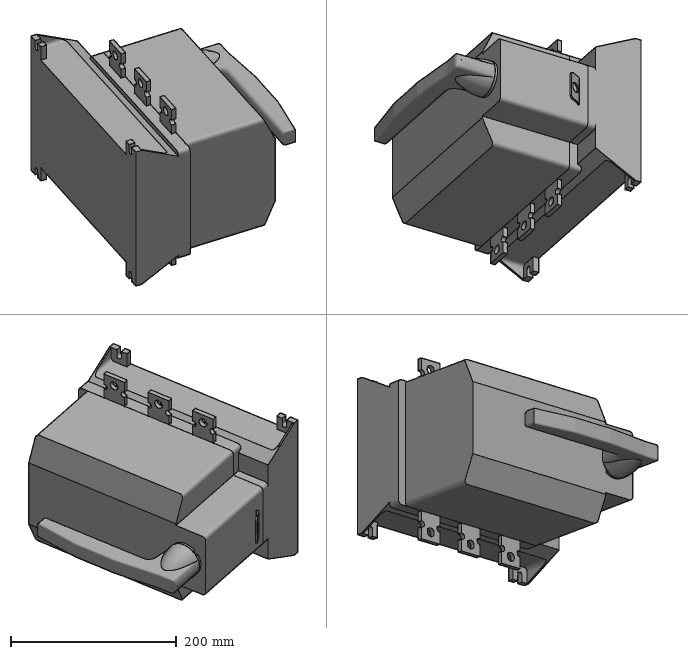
import cadquery as cq
import math


overall_length = 282.2

base_width = 270.0
foot_half_height = 100.0
foot_thickness = 8.0
flank_top_y = 63.2
flank_top_half_height = 71.0
side_wall = 2.3
ear_width = 25.5
ear_slot_inset = 14.0
ear_slot_width = 6.5
ear_slot_depth = 12.0

split_y = 74.2
cover_top_y = 196.1
low_half_height = 44.0
tall_half_height = 80.2
tall_left_x = 43.5
tall_collar_y = 57.9
cover_right_x = 259.0
edge_radius = 5.0
bevel_start_y = 180.3
bevel_top_half_height = 46.3

bar_count = 3
bar_pitch = 65.0
first_bar_x = 88.0
bar_width = 30.2
bar_thickness = 6.0
bar_half_length = 116.0
bar_hole_diameter = 11.0
bar_hole_z = 104.0
bar_notch_z = 96.8
bar_notch_width = 7.5
bar_notch_depth = 4.8

tab_reach = overall_length - base_width
tab_bottom_y = 86.6
tab_half_width = 18.0
tab_thickness = 2.0
tab_bend_radius = 4.8
tab_bend_angle = 62
tab_corner_radius = 4.0
tab_hole_diameter = 12.7
tab_hole_y = 96.0

knob_x = 29.5
knob_radius = 23.0
heel_radius = 23.1
knob_bottom_y = 199.5
dome_arc_radius = 74.8
dome_height = 44.5
skirt_radius = 22.5
skirt_flat = 13.5
lever_half_thickness = 10.5
lever_end_x = 208.8
lever_end_y = 250.3
lever_top_y = 259.0
lever_shoulder_y = 253.0
lever_hump_x = 91.7
lever_flat_y = 258.8
lever_flat_start_x = 105.8
lever_flat_end_x = 148.2
grip_bottom_y = 232.8
neck_bottom_x = 51.6
neck_top_x = 56.5
grip_inner_radius = 9.5
lever_corner_radius = 6.2
lever_heel_fillet = 4.5
lever_grip_fillet = 5.5
lever_top_fillet = 2.3


def block(x_range, y_range, z_range):
    """Axis-aligned box between the given limits."""
    size = [high - low for low, high in (x_range, y_range, z_range)]
    corner = cq.Vector(x_range[0], y_range[0], z_range[0])
    return cq.Workplane("XY").add(cq.Solid.makeBox(*size, corner))


def bay(x_range, y_range, half_height, rounded_sides):
    """Housing bay with its Y-parallel edges rounded on the chosen sides."""
    body = block(x_range, y_range, (-half_height, half_height))
    for side in rounded_sides:
        body = body.faces(side).edges("|Y").fillet(edge_radius)
    return body


def make_bars():
    """Terminal bars that pass right through the housing, with an eye at each end."""
    y_range = (split_y - bar_thickness, split_y)
    bars = []
    for index in range(bar_count):
        x = first_bar_x + index * bar_pitch
        left_x = x - bar_width / 2
        bar = block((left_x, left_x + bar_width), y_range, (-bar_half_length, bar_half_length))
        for end in (-1, 1):
            eye = cq.Workplane("XZ", origin=(x, split_y, end * bar_hole_z))
            bar = bar.cut(eye.circle(bar_hole_diameter / 2).extrude(bar_thickness))
            for side in (-1, 1):
                notch_x = x + side * bar_width / 2
                notch = cq.Workplane("XZ", origin=(notch_x, split_y, end * bar_notch_z))
                bar = bar.cut(notch.slot2D(2 * bar_notch_depth, bar_notch_width).extrude(bar_thickness))
        bars.append(bar)
    return bars


def side_pocket(end):
    """Recess above (end = 1) or below (end = -1) the core of the base, leaving the ears and end walls."""
    z_range = sorted((end * tall_half_height, end * foot_half_height))
    upper = block((side_wall, base_width - side_wall), (foot_thickness, flank_top_y), z_range)
    floor_side = "<Z" if end > 0 else ">Z"
    upper = upper.faces(floor_side).edges("|Y").fillet(edge_radius)
    between_ears = block((ear_width, base_width - ear_width), (0, foot_thickness), z_range)
    return upper.union(between_ears)


def ear_slots():
    """Open-ended screw slots with round bottoms, one in each mounting ear."""
    slots = []
    for x in (ear_slot_inset, base_width - ear_slot_inset):
        for end in (-1, 1):
            slot = (
                cq.Workplane("XZ", origin=(x, foot_thickness, end * foot_half_height))
                .slot2D(2 * ear_slot_depth, ear_slot_width, 90)
                .extrude(foot_thickness)
            )
            slots.append(slot)
    return slots


def make_base(bars):
    flank = [
        (0, foot_half_height),
        (foot_thickness, foot_half_height),
        (flank_top_y, flank_top_half_height),
    ]
    mirrored_flank = [(y, -z) for y, z in reversed(flank)]
    base = cq.Workplane("YZ").polyline(flank + mirrored_flank).close().extrude(base_width)
    for end in (-1, 1):
        base = base.cut(side_pocket(end))
    for slot in ear_slots():
        base = base.cut(slot)
    low_bay = bay((0, tall_left_x), (tall_collar_y, split_y), low_half_height, ["<X"])
    tall_bay = bay((tall_left_x, base_width), (tall_collar_y, split_y), tall_half_height, ["<X", ">X"])
    base = base.union(low_bay).union(tall_bay)
    for bar in bars:
        base = base.cut(bar)
    return base


def make_cover():
    tall_bay = bay((tall_left_x, cover_right_x), (split_y, cover_top_y), tall_half_height, ["<X", ">X"])
    bevel = [
        (bevel_start_y, tall_half_height),
        (cover_top_y, bevel_top_half_height),
        (cover_top_y, tall_half_height),
    ]
    for end in (-1, 1):
        outline = [(y, end * z) for y, z in bevel]
        tall_bay = tall_bay.cut(cq.Workplane("YZ").polyline(outline).close().extrude(base_width))
    low_bay = bay((0, tall_left_x), (split_y, cover_top_y), low_half_height, ["<X"])
    return tall_bay.union(low_bay)


def make_tab():
    """Bent strip that leaves the cover's left face square to it, then leans outwards."""
    angle = math.radians(tab_bend_angle)
    half_angle = angle / 2
    inner_radius = tab_bend_radius - tab_thickness
    centre_y = tab_bottom_y + tab_bend_radius

    def on_bend(radius, turn):
        return (-radius * math.sin(turn), centre_y - radius * math.cos(turn))

    bend_reach = tab_bend_radius * math.sin(angle)
    rise = (tab_reach - bend_reach) * math.tan(angle)
    bend_end = on_bend(tab_bend_radius, angle)
    outer_tip = (-tab_reach, bend_end[1] + rise)
    inner_tip = (
        outer_tip[0] + tab_thickness * math.sin(angle),
        outer_tip[1] + tab_thickness * math.cos(angle),
    )
    tab = (
        cq.Workplane("XY", origin=(0, 0, -tab_half_width))
        .moveTo(*on_bend(tab_bend_radius, 0))
        .threePointArc(on_bend(tab_bend_radius, half_angle), bend_end)
        .lineTo(*outer_tip)
        .lineTo(*inner_tip)
        .lineTo(*on_bend(inner_radius, angle))
        .threePointArc(on_bend(inner_radius, half_angle), on_bend(inner_radius, 0))
        .close()
        .extrude(2 * tab_half_width)
    )
    corner_point = ((outer_tip[0] + inner_tip[0]) / 2, (outer_tip[1] + inner_tip[1]) / 2)
    for end in (-1, 1):
        corner = cq.selectors.NearestToPointSelector((*corner_point, end * tab_half_width))
        tab = tab.edges(corner).fillet(tab_corner_radius)

    hole_x = bend_end[0] - (tab_hole_y - bend_end[1]) / math.tan(angle)
    hole_plane = cq.Plane(
        origin=(hole_x, tab_hole_y, 0),
        xDir=(0, 0, 1),
        normal=(math.sin(angle), math.cos(angle), 0),
    )
    hole = cq.Workplane(hole_plane).circle(tab_hole_diameter / 2).extrude(2 * tab_thickness, both=True)
    return tab.cut(hole)


def make_knob():
    """Pointed dome turned from one arc that starts parallel to the axis; its flat end is inside the lever."""
    dome_top_y = knob_bottom_y + dome_height
    arc_centre_z = knob_radius - dome_arc_radius

    def dome_radius(height):
        return arc_centre_z + math.sqrt(dome_arc_radius**2 - height**2)

    return (
        cq.Workplane("YZ", origin=(knob_x, 0, 0))
        .moveTo(knob_bottom_y, 0)
        .lineTo(knob_bottom_y, knob_radius)
        .threePointArc(
            (knob_bottom_y + dome_height / 2, dome_radius(dome_height / 2)),
            (dome_top_y, dome_radius(dome_height)),
        )
        .lineTo(dome_top_y, 0)
        .close()
        .revolve(360, (0, 0, 0), (1, 0, 0))
    )


def make_skirt():
    """Short disc under the knob, cut flat on one side and stepped at one corner."""
    y_range = (cover_top_y, knob_bottom_y)
    skirt = cq.Workplane("XZ", origin=(knob_x, knob_bottom_y, 0)).circle(skirt_radius)
    skirt = skirt.extrude(knob_bottom_y - cover_top_y)
    flat = block((knob_x + skirt_flat, knob_x + skirt_radius), y_range, (-skirt_radius, skirt_radius))
    step = block((knob_x - skirt_radius, knob_x - skirt_flat), y_range, (skirt_flat, skirt_radius))
    return skirt.cut(flat).cut(step)


def make_lever():
    """Flat L-shaped lever whose heel is rounded about the knob's axis."""
    heel_x = knob_x - heel_radius
    lever = (
        cq.Workplane("XY", origin=(0, 0, -lever_half_thickness))
        .moveTo(heel_x, knob_bottom_y)
        .lineTo(heel_x, lever_shoulder_y)
        .lineTo(knob_x, lever_shoulder_y)
        .lineTo(lever_hump_x, lever_top_y)
        .lineTo(lever_flat_start_x, lever_flat_y)
        .lineTo(lever_flat_end_x, lever_flat_y)
        .lineTo(lever_end_x, lever_end_y)
        .lineTo(lever_end_x, grip_bottom_y)
        .lineTo(neck_top_x, grip_bottom_y)
        .lineTo(neck_bottom_x, knob_bottom_y)
        .close()
        .extrude(2 * lever_half_thickness)
    )
    inner_corner = cq.selectors.NearestToPointSelector((neck_top_x, grip_bottom_y, 0))
    lever = lever.edges(inner_corner).fillet(grip_inner_radius)
    heel_corner = cq.selectors.NearestToPointSelector((heel_x, lever_shoulder_y, 0))
    lever = lever.edges(heel_corner).fillet(lever_corner_radius)

    heel = cq.Workplane("XZ", origin=(knob_x, 0, 0)).circle(heel_radius).extrude(-lever_top_y)
    beyond_heel = block((knob_x, lever_end_x), (0, lever_top_y), (-knob_radius, knob_radius))
    lever = lever.intersect(heel.union(beyond_heel))

    lever = lever.edges("|Y").edges("<X").fillet(lever_heel_fillet)
    grip_limits = (
        (neck_bottom_x, knob_bottom_y, -knob_radius),
        (lever_end_x, grip_bottom_y + lever_top_fillet, knob_radius),
    )
    lever = lever.faces("<Z or >Z").edges(cq.selectors.BoxSelector(*grip_limits)).fillet(lever_grip_fillet)
    top_limits = (
        (knob_x - knob_radius / 2, grip_bottom_y + lever_grip_fillet, -knob_radius),
        (lever_end_x + lever_top_fillet, lever_top_y, knob_radius),
    )
    return lever.faces("<Z or >Z").edges(cq.selectors.BoxSelector(*top_limits)).fillet(lever_top_fillet)


def make_handle():
    return make_lever().union(make_knob()).union(make_skirt())


terminal_bars = make_bars()
base = make_base(terminal_bars)
cover = make_cover()
lockout_tab = make_tab()
handle = make_handle()

result = cq.Compound.makeCompound(
    [base.val(), cover.val(), lockout_tab.val(), handle.val(), *[bar.val() for bar in terminal_bars]]
)